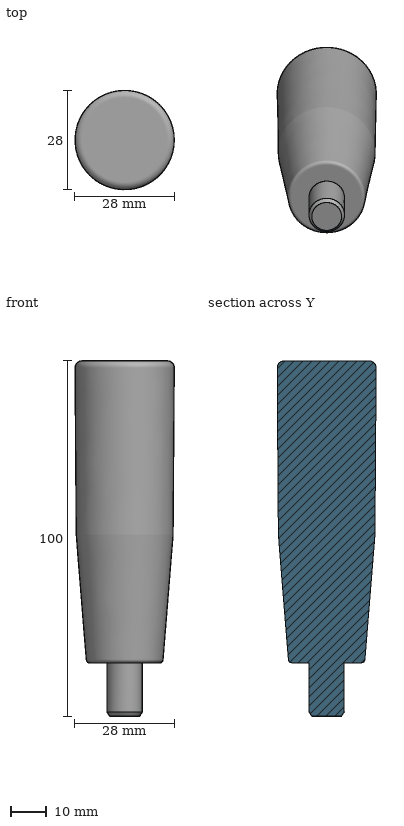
import cadquery as cq

GRIP_LENGTH = 85.0
HEAD_RADIUS = 14.0
WAIST_HEIGHT = 36.0
WAIST_RADIUS = 13.65
FOOT_RADIUS = 10.75
HEAD_FILLET = 2.0
FOOT_FILLET = 1.0

STUD_DIAMETER = 10.0
STUD_TIP_DIAMETER = 8.38
STUD_LENGTH = 15.0
STUD_TIP_HEIGHT = 1.2


def make_grip():
    """Two stacked tapers, narrowing towards the foot, with rounded ends."""
    profile = (
        cq.Workplane("XZ")
        .lineTo(FOOT_RADIUS, 0)
        .lineTo(WAIST_RADIUS, WAIST_HEIGHT)
        .lineTo(HEAD_RADIUS, GRIP_LENGTH)
        .lineTo(0, GRIP_LENGTH)
        .close()
    )
    grip = profile.revolve(360, (0, 0, 0), (0, 1, 0))
    grip = grip.faces(">Z").edges().fillet(HEAD_FILLET)
    return grip.faces("<Z").edges().fillet(FOOT_FILLET)


def make_stud():
    """Cylindrical stud below the grip, ending in a conical tip."""
    stud_radius = STUD_DIAMETER / 2
    tip_radius = STUD_TIP_DIAMETER / 2
    profile = (
        cq.Workplane("XZ")
        .lineTo(stud_radius, 0)
        .lineTo(stud_radius, STUD_TIP_HEIGHT - STUD_LENGTH)
        .lineTo(tip_radius, -STUD_LENGTH)
        .lineTo(0, -STUD_LENGTH)
        .close()
    )
    return profile.revolve(360, (0, 0, 0), (0, 1, 0))


result = make_grip().union(make_stud())